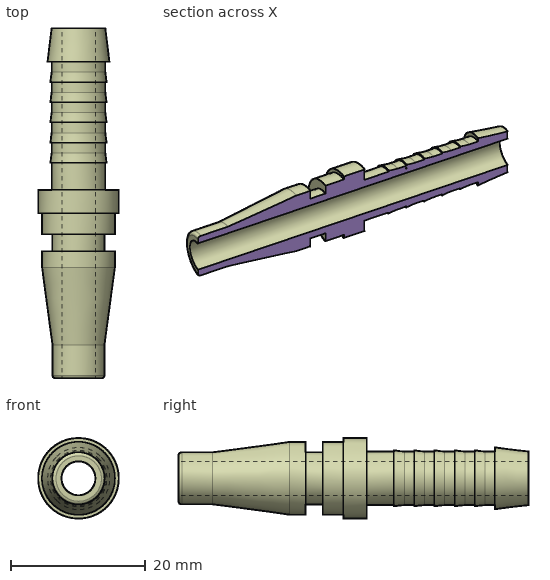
import cadquery as cq
import math


total_length = 52.0
bore_diameter = 5.0

tail_diameter = 8.0
barb_angle = 7.0
head_barb_length = 5.0
barb_length = 1.5
barb_pitch = 3.0
barb_count = 5
first_barb_start = 6.5

collar_diameter = 12.0
collar_start = 24.0
collar_end = 27.5
shoulder_diameter = 10.85
shoulder_end = 30.6
groove_diameter = 7.8
groove_end = 33.1
taper_start = 35.5
taper_end = 47.0
tip_diameter = 7.75
tip_edge_radius = 0.5


def tapered_ring(start, length, start_diameter, end_diameter):
    """Coaxial ring whose diameter changes evenly from its start to its end along -Y."""
    end = start + length
    profile = [
        (0, -start),
        (start_diameter / 2, -start),
        (end_diameter / 2, -end),
        (0, -end),
    ]
    return cq.Workplane("XY").polyline(profile).close().revolve(360, (0, 0), (0, 1))


def cylinder(start, end, diameter):
    """Coaxial cylinder between two distances from the hose end."""
    return tapered_ring(start, end - start, diameter, diameter)


def barb(start, length):
    """Ring flaring from the tail diameter at the barb angle, ending in a square step."""
    end_diameter = tail_diameter + 2 * length * math.tan(math.radians(barb_angle))
    return tapered_ring(start, length, tail_diameter, end_diameter)


def hose_tail():
    """Plain tail with a flared head barb and a row of shallow barbs behind it."""
    tail = cylinder(0, collar_start, tail_diameter)
    tail = tail.union(barb(0, head_barb_length))
    for index in range(barb_count):
        start = first_barb_start + index * barb_pitch
        tail = tail.union(barb(start, barb_length))
    return tail


def collar():
    """Widest ring followed by its smaller shoulder."""
    ring = cylinder(collar_start, collar_end, collar_diameter)
    return ring.union(cylinder(collar_end, shoulder_end, shoulder_diameter))


def plug():
    """Locking groove, then a body that tapers down to a tip with a rounded rim."""
    groove = cylinder(shoulder_end, groove_end, groove_diameter)
    land = cylinder(groove_end, taper_start, shoulder_diameter)
    taper = tapered_ring(taper_start, taper_end - taper_start, shoulder_diameter, tip_diameter)
    tip = cylinder(taper_end, total_length, tip_diameter)
    tip = tip.faces("<Y").edges().fillet(tip_edge_radius)
    return groove.union(land).union(taper).union(tip)


bore = cylinder(0, total_length, bore_diameter)

result = hose_tail().union(collar()).union(plug()).cut(bore)